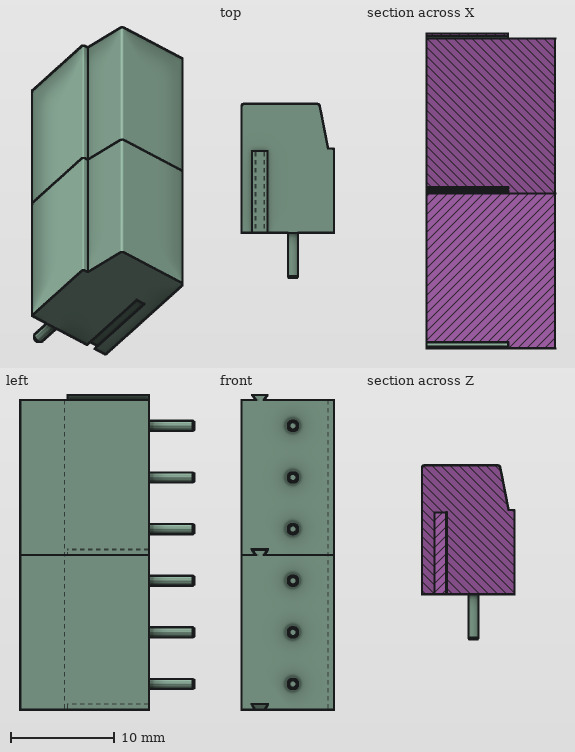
import cadquery as cq

module_count = 2
block_width = 9.0
block_depth = 12.5
total_height = 30.5
edge_radius = 0.3
ledge_edge_radius = 0.18

top_width = 7.55
ledge_width = 0.58
ledge_drop = 4.33

key_height = 0.5
key_center_x = 1.8
key_neck_width = 0.8
key_crest_width = 1.5
key_length = 7.93
slot_depth = 0.58
slot_mouth_width = 0.9
slot_floor_width = 1.62

pins_per_module = 3
pin_diameter = 1.0
pin_length = 4.4
pin_x = 5.0
tip_diameter = 0.73
tip_length = 0.2

module_height = (total_height - key_height) / module_count
pin_pitch = module_height / pins_per_module
ledge_x = block_width - ledge_width
ledge_y = block_depth - ledge_drop


def make_block():
    """Block with a sloped back corner and rounded outer back edges."""
    outline = [
        (0, 0),
        (block_width, 0),
        (block_width, ledge_y),
        (ledge_x, ledge_y),
        (top_width, block_depth),
        (0, block_depth),
    ]
    block = cq.Workplane("XY").polyline(outline).close().extrude(module_height)
    rounded_corners = [
        (block_width, ledge_y, ledge_edge_radius),
        (top_width, block_depth, edge_radius),
        (0, block_depth, edge_radius),
    ]
    for x, y, radius in rounded_corners:
        edge_middle = (x, y, module_height / 2)
        block = block.edges(cq.selectors.NearestToPointSelector(edge_middle)).fillet(radius)
    return block


def make_dovetail(base_z, height, neck_width, crest_width):
    """Dovetail bar that starts at the pin face and widens upward from its neck."""
    half_neck = neck_width / 2
    half_crest = crest_width / 2
    profile = [
        (key_center_x - half_neck, base_z),
        (key_center_x + half_neck, base_z),
        (key_center_x + half_crest, base_z + height),
        (key_center_x - half_crest, base_z + height),
    ]
    return cq.Workplane("XZ").polyline(profile).close().extrude(-key_length)


def make_pin(z):
    """Round pin leaving the block toward -Y, with a tapered tip."""
    shank_length = pin_length - tip_length
    half_profile = [
        (0, 0),
        (pin_diameter / 2, 0),
        (pin_diameter / 2, -shank_length),
        (tip_diameter / 2, -pin_length),
        (0, -pin_length),
    ]
    pin = cq.Workplane("XY").polyline(half_profile).close().revolve(360, (0, 0, 0), (0, 1, 0))
    return pin.translate((pin_x, 0, z))


def make_module():
    """One terminal module: block, dovetail key and slot, and its pins."""
    module = make_block()
    module = module.cut(make_dovetail(0, slot_depth, slot_mouth_width, slot_floor_width))
    module = module.union(make_dovetail(module_height, key_height, key_neck_width, key_crest_width))
    for index in range(pins_per_module):
        module = module.union(make_pin((index + 0.5) * pin_pitch))
    return module


modules = []
for level in range(module_count):
    modules.append(make_module().translate((0, 0, level * module_height)))

result = cq.Compound.makeCompound([module.val() for module in modules])